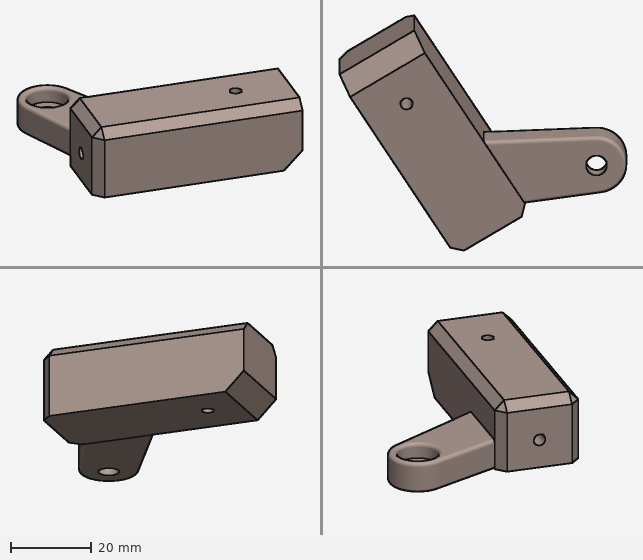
import cadquery as cq
import math


block_width = 22.0
block_length = 54.6
block_height = 18.5
block_left = 20.5
block_front = -1.65
block_chamfer = 2.5
rear_chamfer = 2 * block_chamfer
hole_diameter = 3.0
cross_hole_y = 39.0
front_hole_z = 7.5
front_hole_depth = 12.1

arm_height = 8.0
arm_end_radius = 7.5
arm_edge_radius = 0.95
arm_root_rear = 20.25
screw_hole_diameter = 5.2
recess_diameter = 10.4
recess_depth = arm_height / 2
recess_edge_radius = 0.95

block_middle = block_left + block_width / 2
arm_root_front = block_front + block_chamfer


def make_block():
    """Rectangular block, chamfered at its front, long top edges and lower rear edge, with two small holes."""
    block = (
        cq.Workplane("XY")
        .box(block_width, block_length, block_height, centered=False)
        .translate((block_left, block_front, 0))
    )
    block = block.edges("<Z and >Y").chamfer(rear_chamfer)
    block = block.edges("(>Z and (not >Y)) or (|Z and <Y)").chamfer(block_chamfer)

    cross_hole = (
        cq.Workplane("XY")
        .center(block_middle, cross_hole_y)
        .circle(hole_diameter / 2)
        .extrude(block_height)
    )
    front_hole = (
        cq.Workplane("XZ", origin=(block_middle, block_front, front_hole_z))
        .circle(hole_diameter / 2)
        .extrude(-front_hole_depth)
    )
    return block.cut(cross_hole).cut(front_hole)


def tangent_point(root_y, side):
    """Point where a line from the arm root touches the round end; side is +1 rear, -1 front."""
    distance = math.hypot(block_left, root_y)
    angle = math.atan2(root_y, block_left) + side * math.acos(arm_end_radius / distance)
    return arm_end_radius * math.cos(angle), arm_end_radius * math.sin(angle)


def make_arm():
    """Tapered arm with a round end, rounded edges and a recessed screw hole."""
    arm = (
        cq.Workplane("XY")
        .moveTo(block_left, arm_root_front)
        .lineTo(block_left, arm_root_rear)
        .lineTo(*tangent_point(arm_root_rear, 1))
        .threePointArc((-arm_end_radius, 0), tangent_point(arm_root_front, -1))
        .close()
        .extrude(arm_height)
    )
    arm = arm.edges("(<Z or >Z) and (not >X)").fillet(arm_edge_radius)

    screw_hole = cq.Workplane("XY").circle(screw_hole_diameter / 2).extrude(arm_height)
    recess = (
        cq.Workplane("XY", origin=(0, 0, arm_height - recess_depth))
        .circle(recess_diameter / 2)
        .extrude(recess_depth)
    )
    arm = arm.cut(screw_hole).cut(recess)
    recess_rim = cq.selectors.RadiusNthSelector(0)
    return arm.faces(">Z").edges(recess_rim).fillet(recess_edge_radius)


block = make_block()
arm = make_arm()

result = cq.Compound.makeCompound([block.val(), arm.val()])